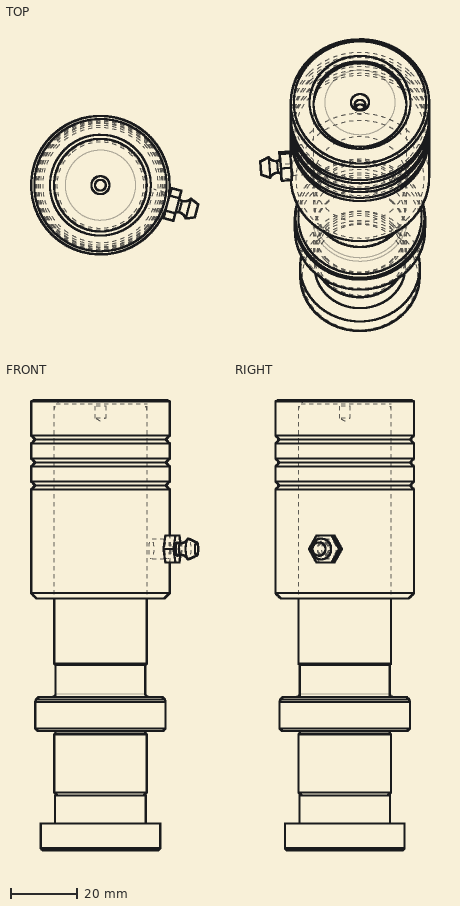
import cadquery as cq
import math


total_height = 136.0

cap_flange_radius = 18.1
cap_flange_height = 8.2
cap_flange_chamfer = 0.7
cap_neck_radius = 13.7
cap_height = 16.6

pillar_radius = 14.0
pillar_end_chamfer = 1.0
pillar_top_fillet = 3.4
relief_radius = 13.6
relief_step = pillar_radius - relief_radius
lower_relief_bottom = 35.0
upper_relief_top = 56.5
centre_hole_radius = 1.6
centre_hole_depth = 5.5
countersink_radius = 2.7
countersink_angle = 60.0
drill_point_angle = 118.0

collar_radius = 19.7
collar_bottom = 36.0
collar_top = 46.4
collar_bottom_chamfer = 0.8
collar_lead_height = 0.8
collar_lead_steep = 0.3
collar_lead_flat = 0.8
collar_root_fillet = 0.8

bush_radius = 21.0
bush_bottom = 76.0
bush_bottom_chamfer = 1.6
bush_top_chamfer_width = 1.0
bush_top_chamfer_height = 0.5
bore_chamfer = 1.2
groove_depth = 1.2
groove_count = 3
groove_pitch = 7.0
first_groove_below_top = 12.0

nipple_height = 91.0
nipple_angle = -15.0
hex_across_flats = 8.2
hex_thickness = 3.1
stem_radius = 3.0
stem_length = 5.0
shoulder_radius = 2.0
neck_radius = 1.8
head_radius = 3.1
tip_radius = 2.0
shoulder_end = 4.1
head_widest = 6.5
nipple_length = 9.1


def revolve_outline(outline):
    """Close a (radius, distance along axis) outline and turn it a full turn about the axis."""
    return outline.close().revolve(360, (0, 0, 0), (0, 1, 0))


def make_cap():
    neck = cq.Workplane("XY").circle(cap_neck_radius).extrude(cap_height)
    flange = cq.Workplane("XY").circle(cap_flange_radius).extrude(cap_flange_height)
    flange = flange.faces("<Z").edges().chamfer(cap_flange_chamfer)
    return flange.union(neck)


def make_centre_hole():
    """Countersunk centre drilling in the top of the pillar."""
    countersink_width = countersink_radius - centre_hole_radius
    countersink_depth = countersink_width / math.tan(math.radians(countersink_angle / 2))
    point_length = centre_hole_radius / math.tan(math.radians(drill_point_angle / 2))
    hole_bottom = total_height - centre_hole_depth
    return revolve_outline(
        cq.Workplane("XZ")
        .moveTo(0, total_height)
        .lineTo(countersink_radius, total_height)
        .lineTo(centre_hole_radius, total_height - countersink_depth)
        .lineTo(centre_hole_radius, hole_bottom)
        .lineTo(0, hole_bottom - point_length)
    )


def make_pillar():
    collar_bevel_top = collar_radius - collar_lead_steep - collar_lead_flat
    body = revolve_outline(
        cq.Workplane("XZ")
        .moveTo(0, cap_height)
        .lineTo(pillar_radius - pillar_end_chamfer, cap_height)
        .lineTo(pillar_radius, cap_height + pillar_end_chamfer)
        .lineTo(pillar_radius, lower_relief_bottom)
        .lineTo(relief_radius, lower_relief_bottom + relief_step)
        .lineTo(relief_radius, collar_bottom)
        .lineTo(collar_radius - collar_bottom_chamfer, collar_bottom)
        .lineTo(collar_radius, collar_bottom + collar_bottom_chamfer)
        .lineTo(collar_radius, collar_top - 2 * collar_lead_height)
        .lineTo(collar_radius - collar_lead_steep, collar_top - collar_lead_height)
        .lineTo(collar_bevel_top, collar_top)
        .lineTo(relief_radius + collar_root_fillet, collar_top)
        .radiusArc((relief_radius, collar_top + collar_root_fillet), collar_root_fillet)
        .lineTo(relief_radius, upper_relief_top - relief_step)
        .lineTo(pillar_radius, upper_relief_top)
        .lineTo(pillar_radius, total_height - pillar_top_fillet)
        .radiusArc((pillar_radius - pillar_top_fillet, total_height), -pillar_top_fillet)
        .lineTo(0, total_height)
    )
    return body.cut(make_centre_hole())


def make_groove(centre_height):
    """Ring of V-shaped section that cuts one groove into the bush."""
    return revolve_outline(
        cq.Workplane("XZ")
        .moveTo(bush_radius, centre_height - groove_depth)
        .lineTo(bush_radius - groove_depth, centre_height)
        .lineTo(bush_radius, centre_height + groove_depth)
    )


def make_bush():
    bush = revolve_outline(
        cq.Workplane("XZ")
        .moveTo(pillar_radius, bush_bottom)
        .lineTo(bush_radius - bush_bottom_chamfer, bush_bottom)
        .lineTo(bush_radius, bush_bottom + bush_bottom_chamfer)
        .lineTo(bush_radius, total_height - bush_top_chamfer_height)
        .lineTo(bush_radius - bush_top_chamfer_width, total_height)
        .lineTo(pillar_radius + bore_chamfer, total_height)
        .lineTo(pillar_radius, total_height - bore_chamfer)
    )
    for index in range(groove_count):
        bush = bush.cut(make_groove(total_height - first_groove_below_top - index * groove_pitch))
    return bush.cut(make_stem())


def nipple_seat():
    """Workplane tangent to the bush, facing outward along the nipple axis."""
    angle = math.radians(nipple_angle)
    outward = (math.cos(angle), math.sin(angle), 0)
    sideways = (-math.sin(angle), math.cos(angle), 0)
    seat_centre = (bush_radius * outward[0], bush_radius * outward[1], nipple_height)
    return cq.Workplane(cq.Plane(origin=seat_centre, xDir=sideways, normal=outward))


def make_stem():
    """Part of the nipple inside the bush, also used to cut its hole."""
    return nipple_seat().circle(stem_radius).extrude(-stem_length)


def make_nipple():
    hex_across_corners = hex_across_flats / math.cos(math.radians(30))
    hexagon = nipple_seat().polygon(6, hex_across_corners).extrude(hex_thickness)
    flare_rise = head_radius - neck_radius
    flare_radius = ((head_widest - shoulder_end) ** 2 + flare_rise ** 2) / (2 * flare_rise)
    fitting_plane = nipple_seat().plane.rotated((90, 0, 0))
    fitting = revolve_outline(
        cq.Workplane(fitting_plane)
        .moveTo(0, 0)
        .lineTo(shoulder_radius, 0)
        .lineTo(shoulder_radius, hex_thickness)
        .lineTo(neck_radius, shoulder_end)
        .radiusArc((head_radius, head_widest), flare_radius)
        .lineTo(tip_radius, nipple_length)
        .lineTo(0, nipple_length)
    )
    return hexagon.union(fitting).union(make_stem())


cap = make_cap()
pillar = make_pillar()
bush = make_bush()
nipple = make_nipple()

bodies = [cap, pillar, bush, nipple]
result = cq.Compound.makeCompound([body.solids().val() for body in bodies])